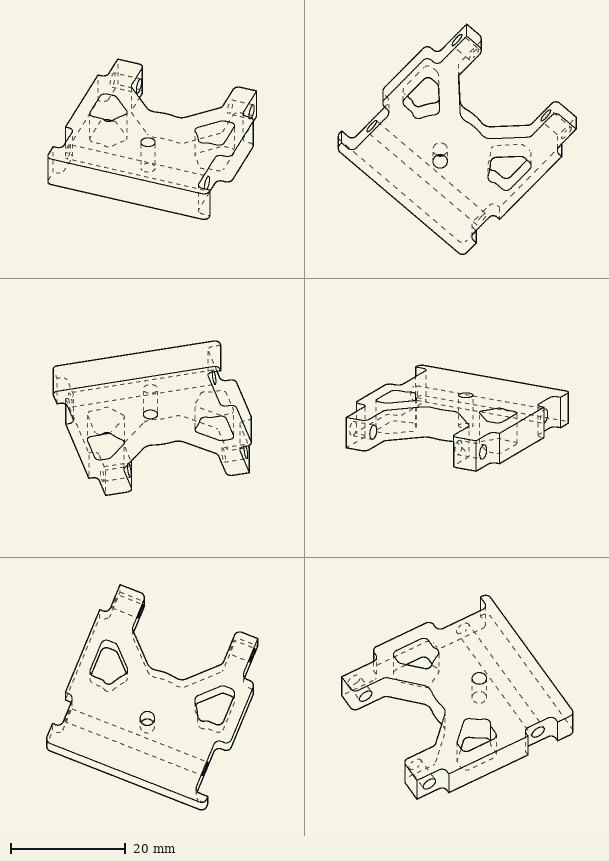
import cadquery as cq
import math

width = 30.0
length = 31.0
thickness = 5.6
mid_x = width / 2

corner_radius = 1.0
hole_diameter = 2.5

left_step = 1.6
left_notch_start = 3.5
left_notch_end = 9.5
left_shoulder = 25.5

right_step = 2.5
right_lip = 1.5
right_notch_end = 11.5
right_shoulder = 23.5

arm_inner_x = 6.5
opening_bend_y = 24.5
hub_y = 10.5
hub_radius = 8.8
hub_blend_radius = 1.98

window_outer_x = 2.5
window_front_y = 14.0
window_rear_y = 20.92
web_width = 3.55
relief_drop = 0.37

bore_positions = (6.5, 28.5)


def fillet_corners(body, points, radius):
    """Round the vertical edges that pass through the given XY points."""
    for x, y in points:
        edge = cq.selectors.NearestToPointSelector((x, y, thickness / 2))
        body = body.edges("|Z").edges(edge).fillet(radius)
    return body


def diagonal_hub_corner(diagonal_sum):
    """Point where the line x + y = diagonal_sum meets the left rear of the hub."""
    offset = diagonal_sum - mid_x - hub_y
    u = (offset - math.sqrt(2 * hub_radius**2 - offset**2)) / 2
    return mid_x + u, hub_y + offset - u


def make_plate():
    left_corners = [
        (left_step, left_shoulder),
        (left_step, left_notch_end),
        (left_step, left_notch_start),
    ]
    right_x = width - right_step
    right_corners = [
        (right_x, right_lip),
        (right_x, right_notch_end),
        (width, right_notch_end),
        (width, right_shoulder),
        (right_x, right_shoulder),
    ]
    bend_left = (arm_inner_x, opening_bend_y)
    bend_right = (width - arm_inner_x, opening_bend_y)
    arm_tip_left = (arm_inner_x, length)
    arm_tip_right = (width - arm_inner_x, length)
    hub_left = diagonal_hub_corner(arm_inner_x + opening_bend_y)
    hub_right = (width - hub_left[0], hub_left[1])

    plate = (
        cq.Workplane("XY")
        .moveTo(0, 0)
        .lineTo(width, 0)
        .lineTo(width, right_lip)
        .polyline(right_corners, includeCurrent=True)
        .lineTo(right_x, length)
        .lineTo(*arm_tip_right)
        .lineTo(*bend_right)
        .lineTo(*hub_right)
        .threePointArc((mid_x, hub_y + hub_radius), hub_left)
        .lineTo(*bend_left)
        .lineTo(*arm_tip_left)
        .lineTo(left_step, length)
        .lineTo(*left_corners[0])
        .lineTo(0, left_shoulder)
        .lineTo(0, left_notch_end)
        .lineTo(*left_corners[1])
        .lineTo(*left_corners[2])
        .lineTo(0, left_notch_start)
        .close()
        .extrude(thickness)
    )
    rounded = left_corners + right_corners
    rounded += [(0, 0), (width, 0), bend_left, bend_right, arm_tip_left, arm_tip_right]
    plate = fillet_corners(plate, rounded, corner_radius)
    return fillet_corners(plate, [hub_left, hub_right], hub_blend_radius)


def make_left_window():
    radius = corner_radius
    diagonal_sum = arm_inner_x + opening_bend_y - web_width * math.sqrt(2)
    tip = diagonal_hub_corner(diagonal_sum)
    rear_inner = (diagonal_sum - window_rear_y, window_rear_y)
    rear_outer = (window_outer_x, window_rear_y)
    front_outer = (window_outer_x, window_front_y)

    relief_y = window_front_y - relief_drop + radius
    rise = relief_y - hub_y
    reach = hub_radius + radius
    relief_x = mid_x - math.sqrt(reach**2 - rise**2)
    hub_touch = (
        mid_x + (relief_x - mid_x) * hub_radius / reach,
        hub_y + rise * hub_radius / reach,
    )

    blend_y = window_front_y - radius
    blend_x = relief_x - math.sqrt((2 * radius) ** 2 - (relief_y - blend_y) ** 2)
    inflection = ((relief_x + blend_x) / 2, (relief_y + blend_y) / 2)

    window = (
        cq.Workplane("XY")
        .moveTo(*front_outer)
        .lineTo(blend_x, window_front_y)
        .radiusArc(inflection, radius)
        .radiusArc(hub_touch, -radius)
        .radiusArc(tip, hub_radius)
        .lineTo(*rear_inner)
        .lineTo(*rear_outer)
        .close()
        .extrude(thickness)
    )
    return fillet_corners(window, [front_outer, rear_outer, rear_inner, tip], radius)


def make_cross_bore(y):
    return (
        cq.Workplane("YZ")
        .center(y, thickness / 2)
        .circle(hole_diameter / 2)
        .extrude(width)
    )


left_window = make_left_window()
right_window = left_window.mirror("YZ", (mid_x, 0, 0))
hub_hole = cq.Workplane("XY").center(mid_x, hub_y).circle(hole_diameter / 2).extrude(thickness)

result = make_plate().cut(left_window).cut(right_window).cut(hub_hole)
for bore_y in bore_positions:
    result = result.cut(make_cross_bore(bore_y))